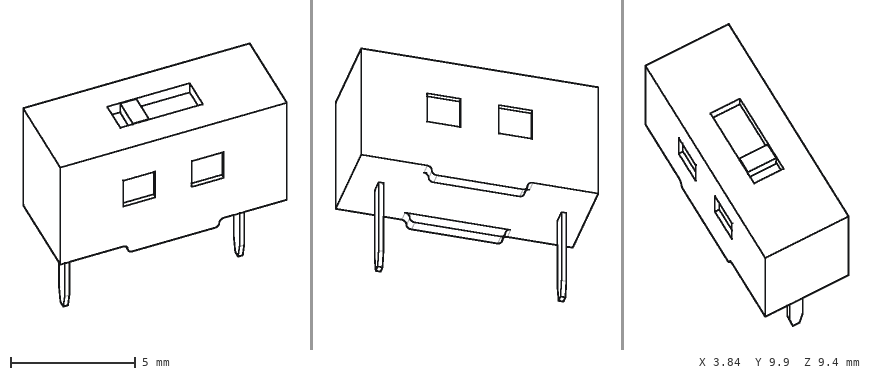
import cadquery as cq


width = 3.84
length = 9.9
total_height = 9.4
housing_height = 5.3

foot_thickness = 0.5
foot_length = 4.0
foot_drop = 0.41
foot_radius = foot_drop / 2

slot_width = 1.36
slot_length = 3.6
slot_depth = 0.5
knob_width = 1.3
knob_length = 0.7
knob_y = -0.89

window_size = 1.41
window_depth = 0.2
window_spacing = 2.99
window_z = 2.89

pin_width = 0.6
pin_thickness = 0.21
pin_length = total_height - housing_height
pin_tip_width = 0.31
pin_taper_length = 0.7
pin_spacing = 7.63
pin_row_y = -0.15


def make_foot(x_start):
    """Foot with rounded lower corners and rounded roots, from x_start towards +X."""
    half_length = foot_length / 2
    r = foot_radius
    return (
        cq.Workplane("YZ", origin=(x_start, 0, 0))
        .moveTo(-half_length - r, 0)
        .radiusArc((-half_length, -r), r)
        .radiusArc((-half_length + r, -foot_drop), -r)
        .lineTo(half_length - r, -foot_drop)
        .radiusArc((half_length, -r), -r)
        .radiusArc((half_length + r, 0), r)
        .close()
        .extrude(foot_thickness)
    )


def make_windows():
    """Cutters for the windows, two in each long side."""
    return (
        cq.Workplane("XY", origin=(0, 0, window_z))
        .rarray(width - window_depth, window_spacing, 2, 2)
        .box(window_depth, window_size, window_size)
    )


def make_housing():
    """Block with feet, windows, slot and slider knob."""
    block = cq.Workplane("XY").box(width, length, housing_height, centered=(True, True, False))

    for x_start in (-width / 2, width / 2 - foot_thickness):
        block = block.union(make_foot(x_start))

    slot_floor = cq.Workplane("XY", origin=(0, 0, housing_height - slot_depth))
    slot = slot_floor.rect(slot_width, slot_length).extrude(slot_depth)
    knob = slot_floor.center(0, knob_y).rect(knob_width, knob_length).extrude(slot_depth)

    return block.cut(make_windows()).cut(slot).union(knob)


def make_pin(y):
    """Flat pin centred at y, hanging from the underside and tapering to its tip."""
    taper_z = pin_taper_length - pin_length
    return (
        cq.Workplane("XZ", origin=(0, y, 0))
        .polyline([
            (-pin_width / 2, 0),
            (pin_width / 2, 0),
            (pin_width / 2, taper_z),
            (pin_tip_width / 2, -pin_length),
            (-pin_tip_width / 2, -pin_length),
            (-pin_width / 2, taper_z),
        ])
        .close()
        .extrude(pin_thickness / 2, both=True)
    )


housing = make_housing()
pins = [make_pin(pin_row_y + side * pin_spacing / 2) for side in (-1, 1)]

result = cq.Compound.makeCompound([housing.val(), *(pin.val() for pin in pins)])